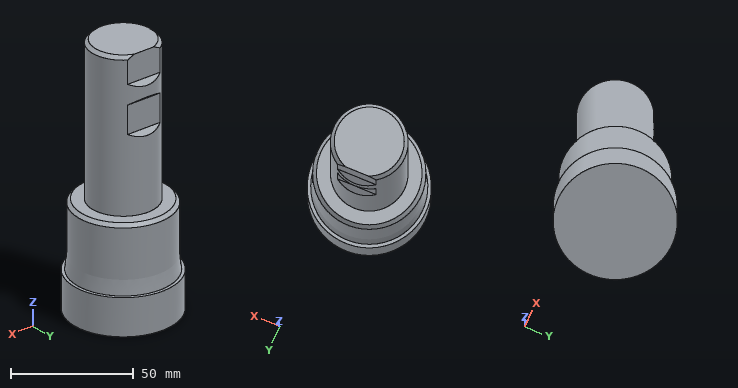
import cadquery as cq

total_height = 124.2
head_diameter = 50.8
head_height = 18.1

taper_bottom_diameter = 47.8
collar_diameter = 46.3
taper_height = 7.0
collar_top = 50.7

shank_diameter = 31.8
edge_chamfer = 1.6
flat_offset = 13.4
end_flat_length = 12.8
land_length = 9.6
lower_flat_length = 13.5
flank_length = 2.1

head_radius = head_diameter / 2
taper_bottom_radius = taper_bottom_diameter / 2
collar_radius = collar_diameter / 2
shank_radius = shank_diameter / 2
taper_top = head_height + taper_height


def make_head():
    """Plain cylindrical head at the bottom."""
    return cq.Workplane("XY").circle(head_radius).extrude(head_height)


def make_flat_cutter(bottom, top):
    """Prism across the shank: a flat floor with sloped end flanks."""
    return (
        cq.Workplane("YZ")
        .moveTo(flat_offset, bottom)
        .lineTo(flat_offset, top)
        .lineTo(shank_radius, top + flank_length)
        .lineTo(shank_radius, bottom - flank_length)
        .close()
        .extrude(shank_radius, both=True)
    )


def make_holder():
    """Turned collar and shank, with two clamping flats."""
    holder = (
        cq.Workplane("XZ")
        .moveTo(0, head_height)
        .lineTo(taper_bottom_radius, head_height)
        .lineTo(collar_radius, taper_top)
        .lineTo(collar_radius, collar_top - edge_chamfer)
        .lineTo(collar_radius - edge_chamfer, collar_top)
        .lineTo(shank_radius, collar_top)
        .lineTo(shank_radius, total_height - edge_chamfer)
        .lineTo(shank_radius - edge_chamfer, total_height)
        .lineTo(0, total_height)
        .close()
        .revolve(360, (0, 0, 0), (0, 1, 0))
    )
    end_flat_bottom = total_height - end_flat_length
    lower_flat_top = end_flat_bottom - land_length
    lower_flat_bottom = lower_flat_top - lower_flat_length
    holder = holder.cut(make_flat_cutter(end_flat_bottom, total_height))
    return holder.cut(make_flat_cutter(lower_flat_bottom, lower_flat_top))


head = make_head()
holder = make_holder()

result = cq.Compound.makeCompound([head.val(), *holder.solids().vals()])